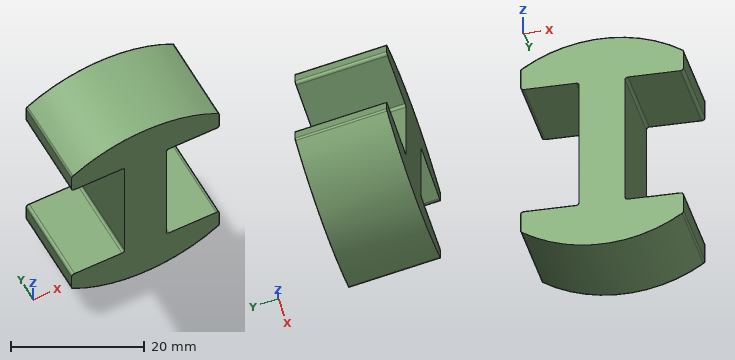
import cadquery as cq
import math

width = 25.0
depth = 14.5
height = 36.3

web_width = 7.08
flange_gap = 21.55
crown_radius = 22.15

root_radius = 0.45
tip_radius = 0.5

half_width = width / 2
half_height = height / 2
half_web = web_width / 2
half_gap = flange_gap / 2

crown_rise = crown_radius - math.sqrt(crown_radius**2 - half_width**2)
shoulder = half_height - crown_rise


def i_profile():
    """Closed I outline in the XZ plane, with crowned top and bottom flanges."""
    return (
        cq.Workplane("XZ")
        .moveTo(-half_width, shoulder)
        .threePointArc((0, half_height), (half_width, shoulder))
        .lineTo(half_width, half_gap)
        .lineTo(half_web, half_gap)
        .lineTo(half_web, -half_gap)
        .lineTo(half_width, -half_gap)
        .lineTo(half_width, -shoulder)
        .threePointArc((0, -half_height), (-half_width, -shoulder))
        .lineTo(-half_width, -half_gap)
        .lineTo(-half_web, -half_gap)
        .lineTo(-half_web, half_gap)
        .lineTo(-half_width, half_gap)
        .close()
    )


body = i_profile().extrude(depth / 2, both=True)

rooted = body.edges("|Y and (not (>X or <X))").fillet(root_radius)
result = rooted.edges("|Y and (>X or <X)").fillet(tip_radius)